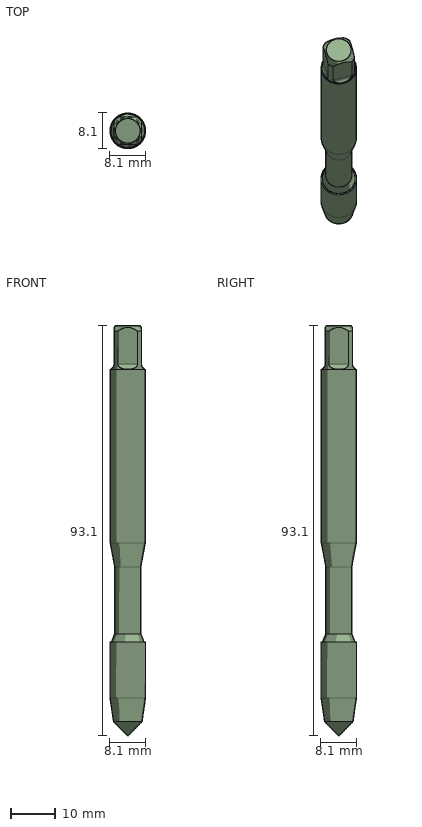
import cadquery as cq
import math

total_length = 93.1
tip_height = 3.3
lead_end_z = 8.7
thread_top_z = 21.3
collar_bottom_z = thread_top_z
neck_bottom_z = 23.2
neck_top_z = 38.4
shank_bottom_z = 43.9

thread_diameter = 8.1
tip_diameter = 6.5
collar_diameter = 7.45
neck_diameter = 6.0
shank_diameter = 8.0

drive_length = 10.0
drive_width = 6.2
drive_corner_diameter = 7.6
end_face_diameter = 5.6
end_chamfer_height = 1.2
drive_bottom_z = total_length - drive_length
runout_radius = 1.4


def revolve_profile(points):
    """Revolve a closed (radius, height) outline about the Z axis."""
    return cq.Workplane("XZ").polyline(points).close().revolve(360, (0, 0), (0, 1))


def make_square_envelope():
    """Square prism for the drive, flaring through tangent arcs out to the shank."""
    half_width = drive_width / 2
    half_shank = shank_diameter / 2
    runout_angle = math.acos(1 - (half_shank - half_width) / runout_radius)
    runout_top_z = drive_bottom_z + runout_radius * math.sin(runout_angle)
    arc_mid_x = half_width + runout_radius * (1 - math.cos(runout_angle / 2))
    arc_mid_z = runout_top_z - runout_radius * math.sin(runout_angle / 2)
    along_y = (
        cq.Workplane("XZ")
        .moveTo(-half_shank, 0)
        .lineTo(half_shank, 0)
        .lineTo(half_shank, drive_bottom_z)
        .threePointArc((arc_mid_x, arc_mid_z), (half_width, runout_top_z))
        .lineTo(half_width, total_length)
        .lineTo(-half_width, total_length)
        .lineTo(-half_width, runout_top_z)
        .threePointArc((-arc_mid_x, arc_mid_z), (-half_shank, drive_bottom_z))
        .close()
        .extrude(half_shank, both=True)
    )
    along_x = along_y.rotate((0, 0, 0), (0, 0, 1), 90)
    return along_y.intersect(along_x)


def make_shank():
    """Turned collar, neck and shank with a square drive milled at the top."""
    turned = revolve_profile([
        (0, collar_bottom_z),
        (collar_diameter / 2, collar_bottom_z),
        (neck_diameter / 2, neck_bottom_z),
        (neck_diameter / 2, neck_top_z),
        (shank_diameter / 2, shank_bottom_z),
        (shank_diameter / 2, drive_bottom_z),
        (drive_corner_diameter / 2, drive_bottom_z),
        (drive_corner_diameter / 2, total_length - end_chamfer_height),
        (end_face_diameter / 2, total_length),
        (0, total_length),
    ])
    return turned.intersect(make_square_envelope())


def make_thread_section():
    """Cylindrical thread section with a tapered lead and a pointed tip."""
    return revolve_profile([
        (0, 0),
        (tip_diameter / 2, tip_height),
        (thread_diameter / 2, lead_end_z),
        (thread_diameter / 2, thread_top_z),
        (0, thread_top_z),
    ])


shank = make_shank()
thread_section = make_thread_section()

result = cq.Compound.makeCompound([shank.val(), thread_section.val()])